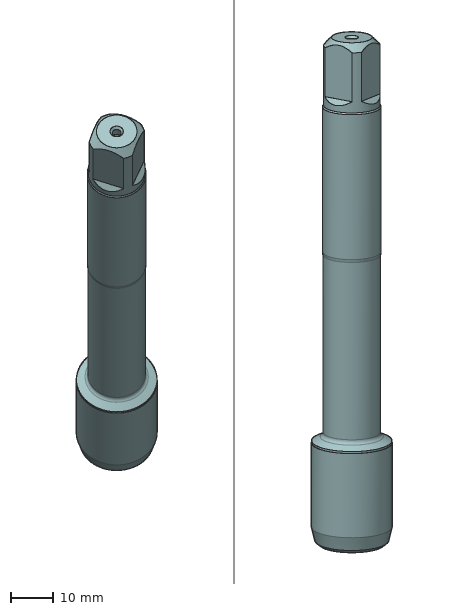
import cadquery as cq
import math

length = 125.0

head_diameter = 19.2
head_height = 25.0
lead_height = 4.2
lead_end_diameter = 17.6
tip_height = 0.9
tip_diameter = 15.5

collar_diameter = 19.1
collar_rim_height = 0.5
collar_cone_height = 1.0
collar_cone_top_diameter = 15.0
fillet_height = 1.1

lower_diameter = 13.8
upper_diameter = 14.0
step_bottom_z = 71.4
step_height = 0.8
shoulder_bottom_z = 107.9
shoulder_height = 0.4

neck_diameter = 13.5
end_diameter = 9.6
end_chamfer = (neck_diameter - end_diameter) / 2
square_width = 11.0
square_height = 14.0
runout = (neck_diameter - square_width) / 2

centre_diameter = 2.0
countersink_diameter = 3.1
countersink_depth = (countersink_diameter - centre_diameter) / 2
centre_depth = 2.5
drill_point_angle = 118.0
drill_point_height = centre_diameter / 2 / math.tan(math.radians(drill_point_angle / 2))


def make_head():
    """Solid of revolution: cylinder with a tapered lead and a chamfered tip."""
    profile = (
        cq.Workplane("XZ")
        .moveTo(0, 0)
        .lineTo(tip_diameter / 2, 0)
        .lineTo(lead_end_diameter / 2, tip_height)
        .lineTo(head_diameter / 2, lead_height)
        .lineTo(head_diameter / 2, head_height)
        .lineTo(0, head_height)
        .close()
    )
    return profile.revolve()


def make_shank_blank():
    """Round shank with its collar, before the square drive is cut."""
    cone_bottom_z = head_height + collar_rim_height
    fillet_bottom_z = cone_bottom_z + collar_cone_height
    fillet_top = (lower_diameter / 2, fillet_bottom_z + fillet_height)
    profile = (
        cq.Workplane("XZ")
        .moveTo(0, head_height)
        .lineTo(collar_diameter / 2, head_height)
        .lineTo(collar_diameter / 2, cone_bottom_z)
        .lineTo(collar_cone_top_diameter / 2, fillet_bottom_z)
        .tangentArcPoint(fillet_top, relative=False)
        .lineTo(lower_diameter / 2, step_bottom_z)
        .lineTo(upper_diameter / 2, step_bottom_z + step_height)
        .lineTo(upper_diameter / 2, shoulder_bottom_z)
        .lineTo(neck_diameter / 2, shoulder_bottom_z + shoulder_height)
        .lineTo(neck_diameter / 2, length - end_chamfer)
        .lineTo(end_diameter / 2, length)
        .lineTo(0, length)
        .close()
    )
    return profile.revolve()


def make_flat_cutter():
    """Block that cuts the flat on the +X side, with a sloping runout at its foot."""
    flat_x = square_width / 2
    flat_bottom_z = length - square_height
    outer_x = neck_diameter / 2
    return (
        cq.Workplane("XZ")
        .moveTo(flat_x, length)
        .lineTo(flat_x, flat_bottom_z)
        .lineTo(outer_x, flat_bottom_z - runout)
        .lineTo(outer_x, length)
        .close()
        .extrude(neck_diameter / 2, both=True)
    )


def make_centre_hole():
    """Blind drilled hole with a 45 degree countersink, open at the drive end."""
    profile = (
        cq.Workplane("XZ")
        .moveTo(0, length)
        .lineTo(countersink_diameter / 2, length)
        .lineTo(centre_diameter / 2, length - countersink_depth)
        .lineTo(centre_diameter / 2, length - centre_depth)
        .lineTo(0, length - centre_depth - drill_point_height)
        .close()
    )
    return profile.revolve()


def make_shank():
    """Shank with four drive flats and a centre hole."""
    body = make_shank_blank()
    flat_cutter = make_flat_cutter()
    for angle in (0, 90, 180, 270):
        body = body.cut(flat_cutter.rotate((0, 0, 0), (0, 0, 1), angle))
    return body.cut(make_centre_hole())


head = make_head()
shank = make_shank()
result = cq.Compound.makeCompound([head.val(), shank.val()])